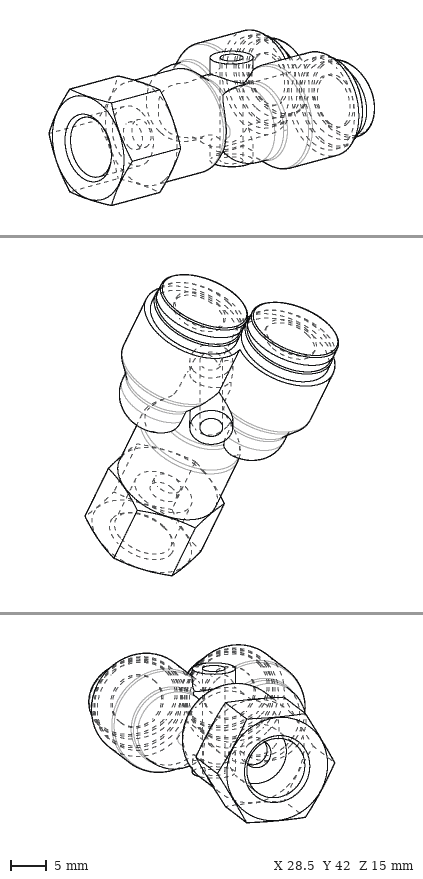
import cadquery as cq
import math

LENGTH = 41.95

HEX_FLATS = 15.0
HEX_LENGTH = 10.0
HEX_CORNERS = HEX_FLATS / math.cos(math.pi / 6)
HEX_FACE_DIAMETER = 14.9
HEX_CHAMFER_ANGLE = math.radians(20)
PORT_DIAMETER = 8.55
PORT_MOUTH_DIAMETER = 9.65
PORT_DEPTH = 8.4
PASSAGE_DIAMETER = 4.0

BARREL_DIAMETER = 14.9
NECK_DIAMETER = 11.0
SHOULDER_RADIUS = 1.0
ARM_OFFSET = 6.8
ARM_CENTRES = (-ARM_OFFSET, ARM_OFFSET)
OUTLET_SHOULDER_Y = 19.0
OUTLET_NECK_Y = 21.9
ARM_TIP_Y = 19.55
ARM_TIP_RADIUS = 4.4
ARM_NECK_Y = 25.93
ARM_SHOULDER_Y = 28.95
ARM_END_Y = 37.95

EYELET_Y = 26.95
EYELET_DIAMETER = 6.0
EYELET_HOLE_DIAMETER = 3.2

COLLAR_DIAMETER = 13.15
COLLAR_LENGTH = 1.68
COLLAR_END_Y = ARM_END_Y + COLLAR_LENGTH
COLLAR_CHAMFER = 0.2

STEM_DIAMETER = 7.5
FLANGE_WIDTH = 13.05
FLANGE_HEIGHT = 11.0
FLANGE_THICKNESS = 1.68
FLANGE_CHAMFER = 0.2


def section_at(y, x):
    """Workplane facing +Y, centred on (x, y, 0), with local x along +X."""
    return cq.Workplane(cq.Plane(origin=(x, y, 0), xDir=(1, 0, 0), normal=(0, 1, 0)))


def rod(diameter, y_start, y_end, x):
    """Round bar along Y, centred on x."""
    return section_at(y_start, x).circle(diameter / 2).extrude(y_end - y_start)


def revolve_about_y(outline):
    """Turn an outline of (radius, y) points around the Y axis."""
    return cq.Workplane("XY").polyline(outline).close().revolve(360, (0, 0, 0), (0, 1, 0))


def fillet_circles(body, y_values, radius):
    """Round the circular edges whose centres lie at the given Y values."""
    tolerance = 0.005
    edges = body.edges("%CIRCLE").filter(
        lambda edge: any(abs(edge.Center().y - y) < tolerance for y in y_values)
    )
    return edges.fillet(radius)


def make_nut():
    hexagon = section_at(0, 0).polygon(6, HEX_CORNERS).extrude(HEX_LENGTH)

    face_radius = HEX_FACE_DIAMETER / 2
    corner_radius = HEX_CORNERS / 2
    bevel = (corner_radius - face_radius) * math.tan(HEX_CHAMFER_ANGLE)
    envelope = revolve_about_y([
        (0, 0),
        (face_radius, 0),
        (corner_radius, bevel),
        (corner_radius, HEX_LENGTH - bevel),
        (face_radius, HEX_LENGTH),
        (0, HEX_LENGTH),
    ])

    mouth_radius = PORT_MOUTH_DIAMETER / 2
    port_radius = PORT_DIAMETER / 2
    passage_radius = PASSAGE_DIAMETER / 2
    port = revolve_about_y([
        (0, 0),
        (mouth_radius, 0),
        (port_radius, mouth_radius - port_radius),
        (port_radius, PORT_DEPTH),
        (passage_radius, PORT_DEPTH),
        (passage_radius, HEX_LENGTH),
        (0, HEX_LENGTH),
    ])
    return hexagon.intersect(envelope).cut(port)


def make_outlet():
    """Barrel behind the nut, tapering to the neck that joins the arms."""
    barrel_radius = BARREL_DIAMETER / 2
    neck_radius = NECK_DIAMETER / 2
    outlet = revolve_about_y([
        (0, HEX_LENGTH),
        (barrel_radius, HEX_LENGTH),
        (barrel_radius, OUTLET_SHOULDER_Y),
        (neck_radius, OUTLET_NECK_Y),
        (neck_radius, EYELET_Y),
        (0, EYELET_Y),
    ])
    return fillet_circles(outlet, (OUTLET_SHOULDER_Y, OUTLET_NECK_Y), SHOULDER_RADIUS)


def make_arm(x):
    """Barrel that tapers to a narrower domed tip."""
    barrel_radius = BARREL_DIAMETER / 2
    neck_radius = NECK_DIAMETER / 2
    arm = revolve_about_y([
        (0, ARM_TIP_Y),
        (neck_radius, ARM_TIP_Y),
        (neck_radius, ARM_NECK_Y),
        (barrel_radius, ARM_SHOULDER_Y),
        (barrel_radius, ARM_END_Y),
        (0, ARM_END_Y),
    ])
    arm = fillet_circles(arm, (ARM_NECK_Y, ARM_SHOULDER_Y), SHOULDER_RADIUS)
    arm = fillet_circles(arm, (ARM_TIP_Y,), ARM_TIP_RADIUS)
    return arm.translate((x, 0, 0))


def eyelet_cylinder(diameter):
    """Upright cylinder, as tall as the nut, on the eyelet axis."""
    return (
        cq.Workplane("XY", origin=(0, EYELET_Y, -HEX_FLATS / 2))
        .circle(diameter / 2)
        .extrude(HEX_FLATS)
    )


def make_housing():
    housing = make_outlet()
    for x in ARM_CENTRES:
        housing = housing.union(make_arm(x))
    housing = housing.union(eyelet_cylinder(EYELET_DIAMETER))
    return housing.cut(eyelet_cylinder(EYELET_HOLE_DIAMETER))


def make_collar(x):
    collar = rod(COLLAR_DIAMETER, ARM_END_Y, COLLAR_END_Y, x)
    return collar.faces(">Y").chamfer(COLLAR_CHAMFER)


def make_button(x):
    flange_y = LENGTH - FLANGE_THICKNESS
    flange = section_at(flange_y, x).ellipse(FLANGE_WIDTH / 2, FLANGE_HEIGHT / 2).extrude(FLANGE_THICKNESS)
    flange = flange.faces(">Y").chamfer(FLANGE_CHAMFER)
    return flange.union(rod(STEM_DIAMETER, COLLAR_END_Y, flange_y, x))


nut = make_nut()
housing = make_housing()
collars = [make_collar(x) for x in ARM_CENTRES]
buttons = [make_button(x) for x in ARM_CENTRES]

result = cq.Compound.makeCompound([
    nut.val(),
    housing.val(),
    *[collar.val() for collar in collars],
    *[button.val() for button in buttons],
])